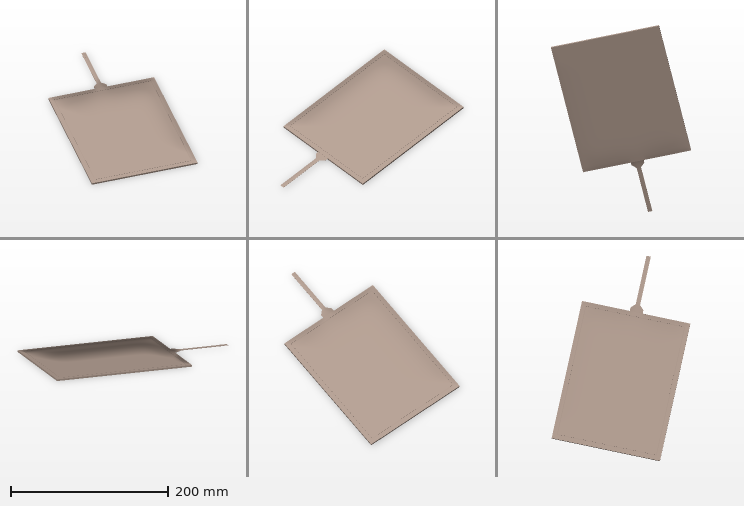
import cadquery as cq

panel_length = 183.7
panel_width = 141.0
panel_thickness = 2.2

groove_inset = 5.7
groove_width = 0.8
groove_depth = 0.3

tail_length = 258.7 - panel_length
tail_width = 5.7
tail_thickness = 0.3
tail_top = 2.0
root_width = 16.8
root_length = 4.7
taper_length = (root_width - tail_width) / 2

contact_length = 9.8
contact_overhang = 5.0
contact_thickness = 0.13

finger_count = 4
finger_width = 0.8
finger_pitch = 1.3
finger_thickness = 0.05

panel_left = -panel_length / 2
tail_tip = panel_left - tail_length
tail_bottom = tail_top - tail_thickness


def centred_plate(length, width, thickness, bottom):
    return (
        cq.Workplane("XY")
        .workplane(offset=bottom)
        .rect(length, width)
        .extrude(thickness)
    )


def frame_groove():
    outer_length = panel_length - 2 * groove_inset
    outer_width = panel_width - 2 * groove_inset
    inner_length = outer_length - 2 * groove_width
    inner_width = outer_width - 2 * groove_width
    floor = panel_thickness - groove_depth
    outer = centred_plate(outer_length, outer_width, groove_depth, floor)
    return outer.cut(centred_plate(inner_length, inner_width, groove_depth, floor))


def flexible_tail():
    shoulder_x = panel_left - root_length
    neck_x = shoulder_x - taper_length
    upper_edge = [
        (panel_left, root_width / 2),
        (shoulder_x, root_width / 2),
        (neck_x, tail_width / 2),
        (tail_tip + contact_overhang, tail_width / 2),
    ]
    lower_edge = [(x, -y) for x, y in reversed(upper_edge)]
    return (
        cq.Workplane("XY")
        .workplane(offset=tail_bottom)
        .polyline(upper_edge + lower_edge)
        .close()
        .extrude(tail_thickness)
    )


def contact_pad():
    pad = centred_plate(contact_length, tail_width, contact_thickness, tail_top)
    return pad.translate((tail_tip + contact_length / 2, 0, 0))


def contact_fingers():
    fingers = cq.Workplane("XY")
    finger_x = tail_tip + contact_overhang / 2
    finger_bottom = tail_top - finger_thickness
    finger = centred_plate(contact_overhang, finger_width, finger_thickness, finger_bottom)
    for index in range(finger_count):
        finger_y = (index - (finger_count - 1) / 2) * finger_pitch
        fingers = fingers.add(finger.translate((finger_x, finger_y, 0)))
    return fingers


panel = centred_plate(panel_length, panel_width, panel_thickness, 0)
tail = flexible_tail().union(contact_pad()).union(contact_fingers())
result = panel.cut(frame_groove()).union(tail)